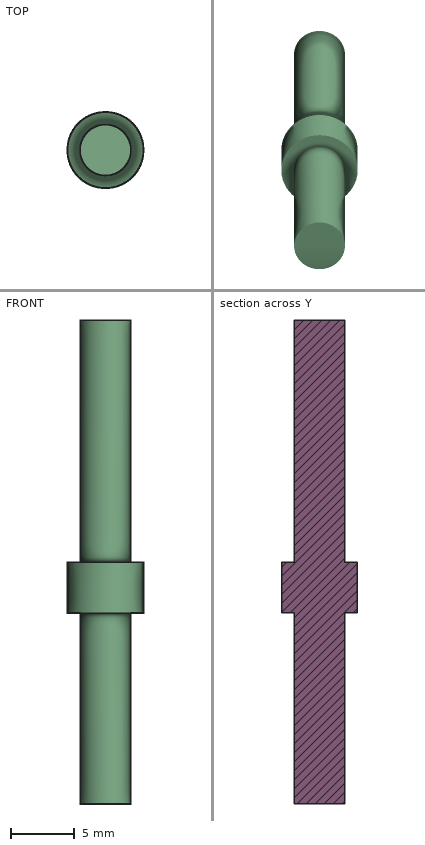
import cadquery as cq

pin_diameter = 4.0
collar_diameter = 6.0
lower_length = 15.0
collar_length = 4.0
upper_length = 19.0


def cylinder(diameter, length, base_z):
    """Solid cylinder on the Z axis, standing on base_z."""
    return cq.Workplane("XY").workplane(offset=base_z).circle(diameter / 2).extrude(length)


collar_base_z = lower_length
total_length = lower_length + collar_length + upper_length

pin = cylinder(pin_diameter, total_length, 0)
collar = cylinder(collar_diameter, collar_length, collar_base_z)

result = pin.union(collar)